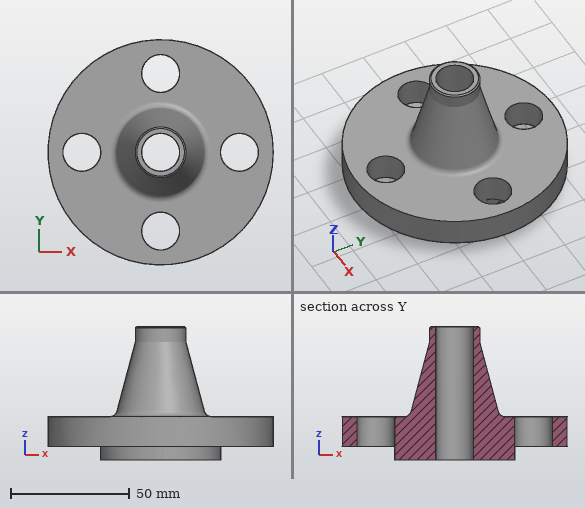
import cadquery as cq

flange_diameter = 95.2
flange_thickness = 12.7
boss_diameter = 50.9
boss_height = 5.7

total_height = 56.4
hub_base_diameter = 38.2
hub_fillet_radius = 3.0
neck_diameter = 21.4
neck_length = 6.6
bevel_width = 0.7
bevel_height = 0.6

bore_diameter = 15.9
bolt_hole_diameter = bore_diameter
bolt_circle_diameter = 66.6
bolt_count = 4

flange_top = boss_height + flange_thickness
neck_bottom = total_height - neck_length


def make_plate():
    """Flange disc standing on its boss."""
    boss = cq.Workplane("XY").circle(boss_diameter / 2).extrude(boss_height)
    return boss.faces(">Z").workplane().circle(flange_diameter / 2).extrude(flange_thickness)


def make_hub():
    """Cone, straight neck and bevelled end, revolved about Z."""
    neck_radius = neck_diameter / 2
    return (
        cq.Workplane("XZ")
        .moveTo(0, flange_top)
        .lineTo(hub_base_diameter / 2, flange_top)
        .lineTo(neck_radius, neck_bottom)
        .lineTo(neck_radius, total_height - bevel_height)
        .lineTo(neck_radius - bevel_width, total_height)
        .lineTo(0, total_height)
        .close()
        .revolve(360, (0, 0), (0, 1))
    )


def fillet_hub_root(body):
    """Round the circle where the cone meets the top of the flange."""
    half_width = hub_base_diameter / 2 + hub_fillet_radius
    root_zone = cq.selectors.BoxSelector(
        (-half_width, -half_width, flange_top - hub_fillet_radius),
        (half_width, half_width, flange_top + hub_fillet_radius),
        boundingbox=True,
    )
    return body.edges(root_zone).edges("%CIRCLE").fillet(hub_fillet_radius)


def make_holes():
    """Bore and bolt holes; the bolt holes graze the rim of the boss."""
    bore = cq.Workplane("XY").circle(bore_diameter / 2).extrude(total_height)
    bolt_holes = (
        cq.Workplane("XY")
        .polarArray(bolt_circle_diameter / 2, 0, 360, bolt_count)
        .circle(bolt_hole_diameter / 2)
        .extrude(flange_top)
    )
    return bore.union(bolt_holes)


body = fillet_hub_root(make_plate().union(make_hub()))
result = body.cut(make_holes())